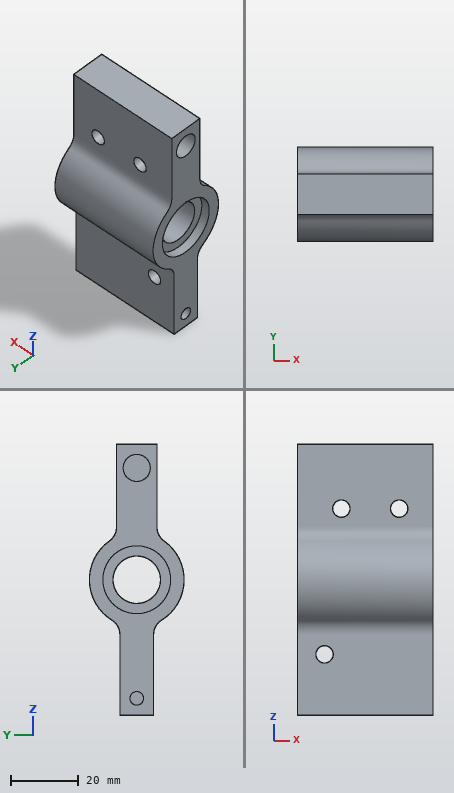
import cadquery as cq
import math

length = 40.0
height = 80.0

barrel_radius = 28.0 / 2
bore_diameter = 13.9
seat_diameter = 20.0
seat_depth = 3.0

upper_thickness = 12.0
lower_thickness = 10.0
blend_radius = 5.0

cross_hole_diameter = 5.0
cross_hole_positions = [(-7.0, 21.0), (10.0, 21.0), (-12.0, -22.0)]

upper_pin_diameter = 8.0
upper_pin_z = height / 2 - 7.0
lower_pin_diameter = 4.0
lower_pin_z = -height / 2 + 5.0
pin_hole_depth = length / 2


def plate(thickness, direction):
    """Plate from the barrel axis up (+1) or down (-1), with tangent concave blends."""
    half = thickness / 2
    centre_y = half + blend_radius
    centre_z = math.sqrt((barrel_radius + blend_radius) ** 2 - centre_y**2)

    contact_ratio = barrel_radius / (barrel_radius + blend_radius)
    contact_y = centre_y * contact_ratio
    contact_z = centre_z * contact_ratio
    mid_angle = math.atan2(centre_z, centre_y) / 2
    mid_y = centre_y - blend_radius * math.cos(mid_angle)
    mid_z = centre_z - blend_radius * math.sin(mid_angle)

    return (
        cq.Workplane("YZ", origin=(-length / 2, 0, 0))
        .moveTo(0, 0)
        .lineTo(contact_y, direction * contact_z)
        .threePointArc((mid_y, direction * mid_z), (half, direction * centre_z))
        .lineTo(half, direction * height / 2)
        .lineTo(-half, direction * height / 2)
        .lineTo(-half, direction * centre_z)
        .threePointArc((-mid_y, direction * mid_z), (-contact_y, direction * contact_z))
        .close()
        .extrude(length)
    )


def end_hole(diameter, z, depth):
    """Cutter entering the -X end face at height z."""
    return (
        cq.Workplane("YZ", origin=(-length / 2, 0, z))
        .circle(diameter / 2)
        .extrude(depth)
    )


barrel = end_hole(2 * barrel_radius, 0, length)
body = barrel.union(plate(upper_thickness, 1)).union(plate(lower_thickness, -1))

body = body.cut(end_hole(bore_diameter, 0, length))
body = body.cut(end_hole(seat_diameter, 0, seat_depth))
body = body.cut(end_hole(upper_pin_diameter, upper_pin_z, pin_hole_depth))
body = body.cut(end_hole(lower_pin_diameter, lower_pin_z, pin_hole_depth))

cross_holes = (
    cq.Workplane("XZ")
    .pushPoints(cross_hole_positions)
    .circle(cross_hole_diameter / 2)
    .extrude(upper_thickness, both=True)
)
result = body.cut(cross_holes)